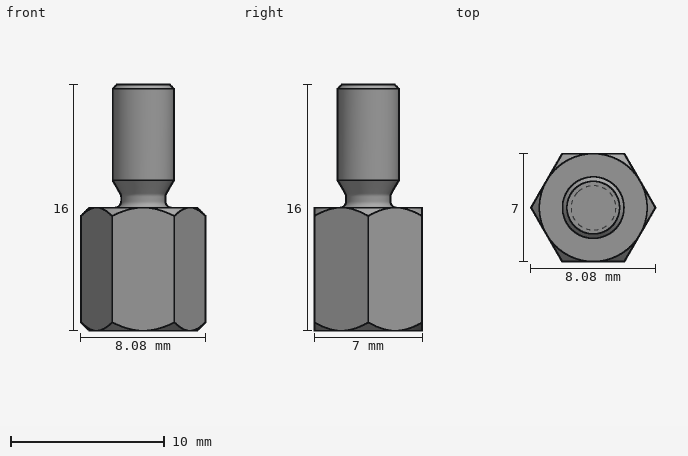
import cadquery as cq
import math

across_flats = 7.0
body_height = 8.0
across_corners = across_flats / math.cos(math.radians(30))

total_height = 16.0
stud_radius = 4.0 / 2
stud_chamfer = 0.29

neck_radius = 2.9 / 2
undercut_height = 1.78
undercut_fillet = 0.4
runout_angle = math.radians(30)


def make_body():
    """Hexagonal prism with 45 degree conical chamfers on both ends."""
    prism = cq.Workplane("XY").polygon(6, across_corners).extrude(body_height)
    corner_chamfer = (across_corners - across_flats) / 2
    turned_blank = (
        cq.Workplane("XY")
        .circle(across_corners / 2)
        .extrude(body_height)
        .edges()
        .chamfer(corner_chamfer)
    )
    return prism.intersect(turned_blank)


def make_stud():
    """Revolved stud: filleted neck, conical runout, shank and chamfered tip."""
    shank_bottom = body_height + undercut_height
    base_fillet_top = body_height + undercut_fillet
    diagonal = math.sqrt(0.5)

    cone_radius = neck_radius + undercut_fillet * (1 - math.cos(runout_angle))
    cone_bottom = shank_bottom - (stud_radius - cone_radius) / math.tan(runout_angle)
    neck_top = cone_bottom - undercut_fillet * math.sin(runout_angle)
    half_angle = runout_angle / 2
    upper_arc_middle = (
        neck_radius + undercut_fillet * (1 - math.cos(half_angle)),
        neck_top + undercut_fillet * math.sin(half_angle),
    )
    base_arc_middle = (
        neck_radius + undercut_fillet * (1 - diagonal),
        body_height + undercut_fillet * (1 - diagonal),
    )

    root_height = body_height / 2
    base_radius = neck_radius + undercut_fillet
    profile = (
        cq.Workplane("XZ")
        .moveTo(0, root_height)
        .lineTo(base_radius, root_height)
        .lineTo(base_radius, body_height)
        .threePointArc(base_arc_middle, (neck_radius, base_fillet_top))
        .lineTo(neck_radius, neck_top)
        .threePointArc(upper_arc_middle, (cone_radius, cone_bottom))
        .lineTo(stud_radius, shank_bottom)
        .lineTo(stud_radius, total_height - stud_chamfer)
        .lineTo(stud_radius - stud_chamfer, total_height)
        .lineTo(0, total_height)
        .close()
    )
    return profile.revolve(360, (0, 0, 0), (0, 1, 0))


result = make_body().union(make_stud())